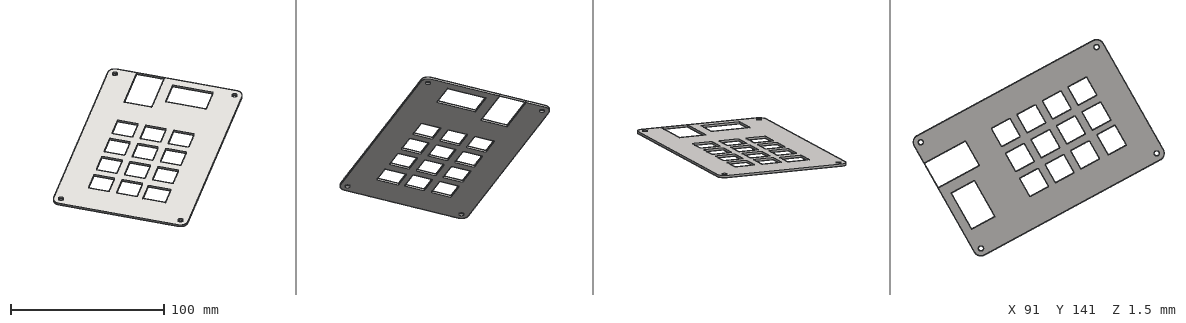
import cadquery as cq

plate_width = 91.0
plate_length = 141.0
plate_thickness = 1.5
corner_radius = 5.0

hole_diameter = 3.4

key_size = 14.0
key_corner_radius = 0.4
key_pitch = 19.0
key_columns = 3
key_rows = 4
grid_center_x = -0.3
grid_center_y = -14.7

wide_key_width = 15.4
wide_key_height = 13.5
wide_key_x = 18.5
wide_key_y = -44.1

display_width = 27.5
display_height = 17.3
display_x = 12.5
display_y = 56.0

controller_width = 18.8
controller_depth = 30.9
controller_x = -17.8
edge_strip = 0.1


def window(width, height, x, y):
    """Rectangular cutter through the plate, centred at (x, y)."""
    return cq.Workplane("XY").center(x, y).rect(width, height).extrude(plate_thickness)


def make_plate():
    plate = cq.Workplane("XY").box(plate_width, plate_length, plate_thickness, centered=(True, True, False))
    return plate.edges("|Z").fillet(corner_radius)


def cut_mounting_holes(plate):
    return (
        plate.faces(">Z")
        .workplane()
        .rect(plate_width - 2 * corner_radius, plate_length - 2 * corner_radius, forConstruction=True)
        .vertices()
        .hole(hole_diameter)
    )


def cut_keys(plate):
    for column in range(key_columns):
        for row in range(key_rows):
            if column == key_columns - 1 and row == 0:
                continue
            x = grid_center_x + (column - (key_columns - 1) / 2) * key_pitch
            y = grid_center_y + (row - (key_rows - 1) / 2) * key_pitch
            key = window(key_size, key_size, x, y).edges("|Z").fillet(key_corner_radius)
            plate = plate.cut(key)
    return plate.cut(window(wide_key_width, wide_key_height, wide_key_x, wide_key_y))


def cut_windows(plate):
    controller_height = controller_depth - edge_strip
    controller_y = plate_length / 2 - edge_strip - controller_height / 2
    plate = plate.cut(window(display_width, display_height, display_x, display_y))
    return plate.cut(window(controller_width, controller_height, controller_x, controller_y))


result = cut_windows(cut_keys(cut_mounting_holes(make_plate())))